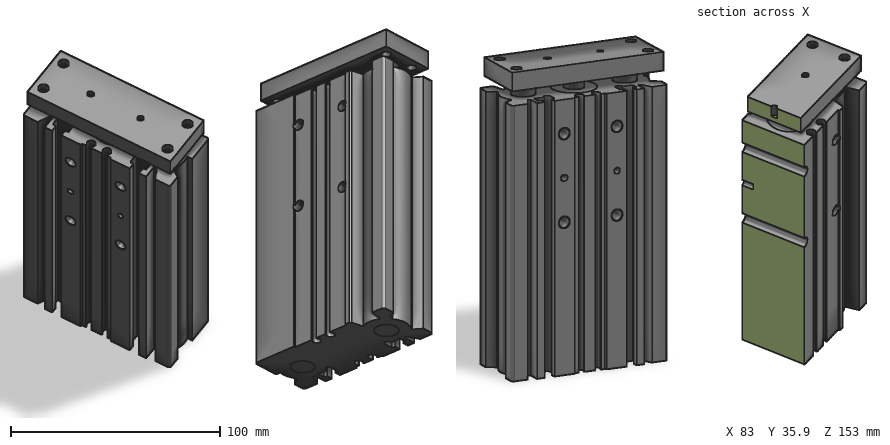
import cadquery as cq
import math


EPS = 1.5

total_height = 153.0
housing_height = 137.1
plate_thickness = 9.3
plate_bottom = total_height - plate_thickness

half_width = 41.5
front_y = -17.1
back_y = 17.9
corner_radius = 1.2

guide_x = 27.1
guide_radius = 6.0
piston_radius = 5.0
cover_radius = 11.2
cover_depth = 15.0

raised_y = -18.0
pad_outer_x = 19.3
pad_inner_x = 8.5
pad_foot_x = 8.0
slat_inner_x = 24.5
slat_outer_x = 28.6

lug_inner_x = 33.2
narrow_groove_x = 30.3
narrow_groove_y = -11.3
narrow_groove_bulge = 0.5

slot_lip_y = -14.8
slot_lip_slope = 0.6
slot_floor_y = -10.3
slot_undercut = 1.8
wire_groove_x = 20.8
wire_groove_y = -8.1
wire_groove_rise = 0.5

keyhole_x = 4.5
keyhole_radius = 2.1
keyhole_neck = 3.0
keyhole_depth = 2.3

back_recess_y = 17.0
back_recess_x = 16.5

barrel_radius = 12.0
barrel_half_chord = 6.5
side_floor_x = 37.0
side_back_floor_y = 8.4
side_back_mouth_y = 11.0
side_front_floor_y = -7.3
side_front_mouth_y = -10.3
port_block_y = 2.9
channel_mouth = 7.0
channel_foot = 5.5
channel_chamfer = 0.9

hole_x = 14.0
mount_hole_diameter = 5.5
mount_hole_chamfer = 0.23
mount_hole_drops = (17.0, 61.0)
pin_hole_drop = 39.0
pin_diameter = 3.0
pin_slot_length = 3.5
pin_depth = 6.1

plate_width = 80.8
plate_depth = 30.0
plate_hole_x = 35.0
plate_hole_y = 9.0
plate_hole_diameter = 5.0


def prism(outline):
    """Close an outline and extrude it over the full height of the housing."""
    return outline.close().extrude(housing_height)


def on_both_sides(shape):
    """Join a shape and its mirror image across the YZ plane."""
    return shape.union(shape.mirror("YZ"))


def blank():
    depth = back_y - front_y
    return (
        cq.Workplane("XY")
        .box(2 * half_width, depth, housing_height, centered=(True, False, False))
        .translate((0, front_y, 0))
        .edges("|Z")
        .fillet(corner_radius)
    )


def front_pad():
    outline = cq.Workplane("XY").polyline([
        (-pad_outer_x, front_y + EPS),
        (-pad_outer_x, raised_y),
        (-pad_inner_x, raised_y),
        (-pad_foot_x, front_y),
        (-pad_foot_x, front_y + EPS),
    ])
    return prism(outline)


def front_slat():
    width = slat_outer_x - slat_inner_x
    depth = slot_lip_y - raised_y
    slat = cq.Workplane("XY").box(width, depth, housing_height, centered=False)
    return slat.translate((-slat_outer_x, raised_y, 0))


def narrow_groove():
    floor_x = (narrow_groove_x + slat_outer_x) / 2
    outline = (
        cq.Workplane("XY")
        .moveTo(-slat_outer_x, front_y - EPS)
        .lineTo(-lug_inner_x, front_y - EPS)
        .lineTo(-lug_inner_x, front_y)
        .lineTo(-narrow_groove_x, narrow_groove_y)
        .threePointArc(
            (-floor_x, narrow_groove_y + narrow_groove_bulge),
            (-slat_outer_x, narrow_groove_y),
        )
    )
    return prism(outline)


def sensor_slot():
    far_x = pad_outer_x - slot_undercut
    near_x = slat_inner_x + slot_undercut
    arc_end_y = slot_floor_y + wire_groove_rise
    outline = (
        cq.Workplane("XY")
        .moveTo(-slat_inner_x, raised_y - EPS)
        .lineTo(-slat_inner_x, slot_lip_y)
        .lineTo(-near_x, slot_lip_y + slot_lip_slope)
        .lineTo(-near_x, slot_floor_y)
        .lineTo(-wire_groove_x, slot_floor_y)
        .threePointArc(
            (-(wire_groove_x + far_x) / 2, wire_groove_y),
            (-far_x, arc_end_y),
        )
        .lineTo(-far_x, slot_lip_y + slot_lip_slope)
        .lineTo(-pad_outer_x, slot_lip_y)
        .lineTo(-pad_outer_x, raised_y - EPS)
    )
    return prism(outline)


def keyhole(face_y, inward):
    """Round groove opening through a neck in the front or back face."""
    axis_y = face_y + inward * keyhole_depth
    bore = (
        cq.Workplane("XY")
        .center(-keyhole_x, axis_y)
        .circle(keyhole_radius)
        .extrude(housing_height)
    )
    neck_length = keyhole_depth + EPS
    neck = (
        cq.Workplane("XY")
        .center(-keyhole_x, axis_y - inward * neck_length / 2)
        .rect(keyhole_neck, neck_length)
        .extrude(housing_height)
    )
    return bore.union(neck)


def back_recess():
    return (
        cq.Workplane("XY")
        .center(0, back_recess_y + EPS / 2)
        .rect(2 * back_recess_x, EPS)
        .extrude(housing_height)
    )


def left_side_groove():
    outline = (
        cq.Workplane("XY")
        .moveTo(-half_width, side_back_mouth_y)
        .lineTo(-side_floor_x, side_back_floor_y)
        .lineTo(-side_floor_x, barrel_half_chord)
        .threePointArc(
            (-guide_x - barrel_radius, 0),
            (-side_floor_x, -barrel_half_chord),
        )
        .lineTo(-side_floor_x, side_front_floor_y)
        .lineTo(-half_width, side_front_mouth_y)
    )
    return prism(outline)


def right_side_groove():
    block_foot_x = guide_x + math.sqrt(barrel_radius**2 - port_block_y**2)
    outline = (
        cq.Workplane("XY")
        .moveTo(half_width, port_block_y)
        .lineTo(block_foot_x, port_block_y)
        .threePointArc(
            (guide_x + barrel_radius, 0),
            (side_floor_x, -barrel_half_chord),
        )
        .lineTo(side_floor_x, side_front_floor_y)
        .lineTo(half_width, side_front_mouth_y)
    )
    return prism(outline)


def back_channel():
    foot_y = math.sqrt(barrel_radius**2 - channel_foot**2)
    outline = (
        cq.Workplane("XY")
        .moveTo(-guide_x - channel_mouth, back_y)
        .lineTo(-guide_x - channel_foot, foot_y)
        .threePointArc((-guide_x, barrel_radius), (-guide_x + channel_foot, foot_y))
        .lineTo(-guide_x + channel_mouth, back_y - channel_chamfer)
        .lineTo(-guide_x + channel_mouth + channel_chamfer, back_y)
    )
    return prism(outline)


def front_plane(drop):
    """Sketch plane on the front pads, a given drop below the housing top."""
    return cq.Workplane(cq.Plane(
        origin=(0, raised_y, housing_height - drop),
        xDir=(1, 0, 0),
        normal=(0, -1, 0),
    ))


def mounting_holes():
    length = back_y - raised_y
    tools = cq.Workplane("XY")
    for drop in mount_hole_drops:
        points = [(-hole_x, 0), (hole_x, 0)]
        bore = front_plane(drop).pushPoints(points).circle(mount_hole_diameter / 2).extrude(-length)
        mouth = (
            front_plane(drop)
            .pushPoints(points)
            .circle(mount_hole_diameter / 2 + mount_hole_chamfer)
            .extrude(-mount_hole_chamfer, taper=45)
        )
        tools = tools.union(bore).union(mouth)
    return tools


def pin_holes(plane, depth):
    """A slotted hole on the -X side and a round one on the +X side."""
    slot = plane.center(-hole_x, 0).slot2D(pin_slot_length, pin_diameter).extrude(-depth)
    hole = plane.center(hole_x, 0).circle(pin_diameter / 2).extrude(-depth)
    return slot.union(hole)


def make_housing():
    body = blank().cut(on_both_sides(narrow_groove()))
    body = body.union(on_both_sides(front_pad())).union(on_both_sides(front_slat()))
    body = body.cut(on_both_sides(sensor_slot()))
    body = body.cut(back_recess())
    body = body.cut(on_both_sides(keyhole(front_y, 1)))
    body = body.cut(on_both_sides(keyhole(back_recess_y, -1)))
    body = body.cut(left_side_groove()).cut(right_side_groove()).cut(back_channel())
    body = body.cut(mounting_holes())
    body = body.cut(pin_holes(front_plane(pin_hole_drop), pin_depth))
    guide_bores = (
        cq.Workplane("XY")
        .pushPoints([(-guide_x, 0), (guide_x, 0)])
        .circle(guide_radius)
        .extrude(housing_height)
    )
    cover_seat = (
        cq.Workplane("XY", origin=(0, 0, housing_height))
        .circle(cover_radius)
        .extrude(-cover_depth)
    )
    return body.cut(guide_bores).cut(cover_seat)


def make_rod_cover():
    return (
        cq.Workplane("XY", origin=(0, 0, housing_height))
        .circle(cover_radius)
        .circle(piston_radius)
        .extrude(-cover_depth)
    )


def make_piston_rod():
    bottom = housing_height - cover_depth
    return (
        cq.Workplane("XY", origin=(0, 0, bottom))
        .circle(piston_radius)
        .extrude(plate_bottom - bottom)
    )


def make_guided_plate():
    plate = (
        cq.Workplane("XY", origin=(0, 0, plate_bottom))
        .rect(plate_width, plate_depth)
        .extrude(plate_thickness)
    )
    screw_holes = (
        cq.Workplane("XY", origin=(0, 0, total_height))
        .rect(2 * plate_hole_x, 2 * plate_hole_y, forConstruction=True)
        .vertices()
        .circle(plate_hole_diameter / 2)
        .extrude(-plate_thickness)
    )
    top_plane = cq.Workplane("XY", origin=(0, 0, total_height))
    plate = plate.cut(screw_holes).cut(pin_holes(top_plane, pin_depth))
    guide_rods = (
        cq.Workplane("XY")
        .pushPoints([(-guide_x, 0), (guide_x, 0)])
        .circle(guide_radius)
        .extrude(plate_bottom)
    )
    return plate.union(guide_rods)


housing = make_housing()
rod_cover = make_rod_cover()
piston_rod = make_piston_rod()
guided_plate = make_guided_plate()

result = cq.Compound.makeCompound([
    housing.val(),
    rod_cover.val(),
    piston_rod.val(),
    guided_plate.val(),
])